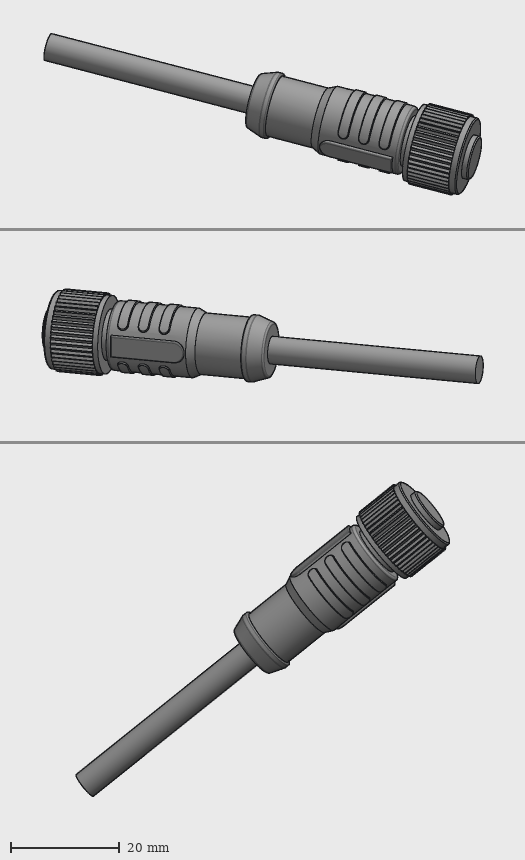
import cadquery as cq
import math

TOTAL_LENGTH = 82.9

CABLE_RADIUS = 2.6

GRIP_START = 39.95
GRIP_END = 70.0
TAIL_RADIUS = 5.1
TAIL_ROUNDING = 0.5
COLLAR_RADIUS = 6.2
COLLAR_CONE_END = 43.0
COLLAR_ROUNDING = 0.25
COLLAR_END = 44.1
SLEEVE_RADIUS = 5.7
SHOULDER_START = 53.0
SHOULDER_END = 54.55
BARREL_RADIUS = 6.5
BARREL_ROUNDING = 0.5

RAISED_RADIUS = 6.7
RAISED_DEPTH = 1.25
RIB_COUNT = 3
RIB_TOP_WIDTH = 1.8
RIB_BLANK_RADIUS = 7.0
RIB_DRAFT = 30.0
RIB_PITCH = 4.0
FIRST_RIB_X = 59.0
RIB_END_ANGLE = 52.0
PAD_START = 54.9
PAD_END = 68.9
PAD_HALF_HEIGHT = 2.0
PAD_ROUNDING = 0.2
PAD_DRAFT = 10.0

NUT_START = 71.2
NUT_END = 81.65
NUT_RADIUS = 7.3
NUT_CHAMFER = 0.25
KNURL_START = 72.2
KNURL_END = 80.25
KNURL_DIAMETER = 15.3
KNURL_RADIUS = KNURL_DIAMETER / 2
TOOTH_COUNT = 48
TOOTH_TIP_WIDTH = 0.1

NECK_RADIUS = 4.8
NOSE_RADIUS = 4.15
NOSE_CHAMFER = 0.25


def rod(start, end, radius):
    """Solid cylinder along the X axis."""
    return cq.Workplane("YZ", origin=(start, 0, 0)).circle(radius).extrude(end - start)


def turned(profile):
    """Solid of revolution about X from (x, radius) points."""
    return cq.Workplane("XY").polyline(profile).close().revolve(360, (0, 0, 0), (1, 0, 0))


def make_cable():
    return rod(0, GRIP_START, CABLE_RADIUS)


def make_grip_core():
    """Turned shape of the grip, without its raised details."""
    tail_profile = [
        (GRIP_START, 0),
        (GRIP_START, TAIL_RADIUS),
        (COLLAR_CONE_END, COLLAR_RADIUS),
        (COLLAR_END, COLLAR_RADIUS),
        (COLLAR_END, 0),
    ]
    barrel_profile = [
        (COLLAR_END, 0),
        (COLLAR_END, SLEEVE_RADIUS),
        (SHOULDER_START, SLEEVE_RADIUS),
        (SHOULDER_END, BARREL_RADIUS),
        (GRIP_END, BARREL_RADIUS),
        (GRIP_END, 0),
    ]
    barrel = turned(barrel_profile).faces(">X").edges().fillet(BARREL_ROUNDING)
    tail = turned(tail_profile).edges("%CIRCLE and (not <X)").fillet(COLLAR_ROUNDING)
    tail = tail.faces("<X").edges().fillet(TAIL_ROUNDING)
    return tail.union(barrel)


def make_rib(x, side_angle):
    """Drafted band around part of the barrel, with round tips; side_angle turns it about X."""
    slope = math.tan(math.radians(RIB_DRAFT))
    half_blank = RIB_TOP_WIDTH / 2 - (RIB_BLANK_RADIUS - RAISED_RADIUS) * slope
    root_radius = RAISED_RADIUS - RAISED_DEPTH
    blank_depth = RIB_BLANK_RADIUS - root_radius
    half_root = half_blank + blank_depth * slope
    rib = (
        cq.Workplane("XZ")
        .moveTo(x - half_root, root_radius)
        .lineTo(x - half_blank, RIB_BLANK_RADIUS)
        .lineTo(x + half_blank, RIB_BLANK_RADIUS)
        .lineTo(x + half_root, root_radius)
        .close()
        .revolve(2 * RIB_END_ANGLE, (0, 0, 0), (1, 0, 0))
        .rotate((0, 0, 0), (1, 0, 0), -RIB_END_ANGLE)
    )
    cone = (
        cq.Workplane("XY", origin=(x, 0, RIB_BLANK_RADIUS))
        .circle(half_blank)
        .extrude(-blank_depth, taper=-RIB_DRAFT)
    )
    for tip_angle in (-RIB_END_ANGLE, RIB_END_ANGLE):
        rib = rib.union(cone.rotate((0, 0, 0), (1, 0, 0), tip_angle))
    rib = rib.intersect(rod(x - RIB_PITCH / 2, x + RIB_PITCH / 2, RAISED_RADIUS))
    return rib.rotate((0, 0, 0), (1, 0, 0), side_angle)


def make_pad(side_angle):
    """Flat label pad with a round rear end and drafted sides; side_angle turns it about X."""
    arc_centre = PAD_START + PAD_HALF_HEIGHT
    pad = (
        cq.Workplane("XY", origin=(0, 0, RAISED_RADIUS))
        .moveTo(arc_centre, -PAD_HALF_HEIGHT)
        .lineTo(PAD_END, -PAD_HALF_HEIGHT)
        .lineTo(PAD_END, PAD_HALF_HEIGHT)
        .lineTo(arc_centre, PAD_HALF_HEIGHT)
        .threePointArc((PAD_START, 0), (arc_centre, -PAD_HALF_HEIGHT))
        .close()
        .extrude(-RAISED_DEPTH, taper=-PAD_DRAFT)
        .faces(">Z")
        .edges()
        .fillet(PAD_ROUNDING)
    )
    return pad.rotate((0, 0, 0), (1, 0, 0), side_angle)


def make_grip():
    grip = make_grip_core()
    for side_angle in (0, 180):
        for i in range(RIB_COUNT):
            grip = grip.union(make_rib(FIRST_RIB_X + i * RIB_PITCH, side_angle))
    for side_angle in (90, -90):
        grip = grip.union(make_pad(side_angle))
    return grip


def make_knurl():
    """Ring of pointed teeth with narrow flat tips and V grooves down to the nut radius."""
    pitch_angle = 2 * math.pi / TOOTH_COUNT
    tip_half_angle = TOOTH_TIP_WIDTH / 2 / KNURL_RADIUS
    outline = []
    for i in range(TOOTH_COUNT):
        middle = i * pitch_angle
        for radius, angle in (
            (KNURL_RADIUS, middle - tip_half_angle),
            (KNURL_RADIUS, middle + tip_half_angle),
            (NUT_RADIUS, middle + pitch_angle / 2),
        ):
            outline.append((radius * math.cos(angle), radius * math.sin(angle)))
    return (
        cq.Workplane("YZ", origin=(KNURL_START, 0, 0))
        .polyline(outline)
        .close()
        .extrude(KNURL_END - KNURL_START)
    )


def make_nut():
    rear = rod(NUT_START, KNURL_START, NUT_RADIUS)
    front = rod(KNURL_END, NUT_END, NUT_RADIUS).faces(">X").edges().chamfer(NUT_CHAMFER)
    bore = rod(NUT_START, NUT_END, NOSE_RADIUS)
    return rear.union(make_knurl()).union(front).cut(bore)


def make_insert():
    """Neck between grip and nut, and the round nose that passes through the nut."""
    neck = rod(GRIP_END, NUT_START, NECK_RADIUS)
    nose = rod(NUT_START, TOTAL_LENGTH, NOSE_RADIUS).faces(">X").edges().chamfer(NOSE_CHAMFER)
    return neck.union(nose)


cable = make_cable()
grip = make_grip().solids()
nut = make_nut().solids()
insert = make_insert().solids()

result = cq.Compound.makeCompound([cable.val(), grip.val(), nut.val(), insert.val()])